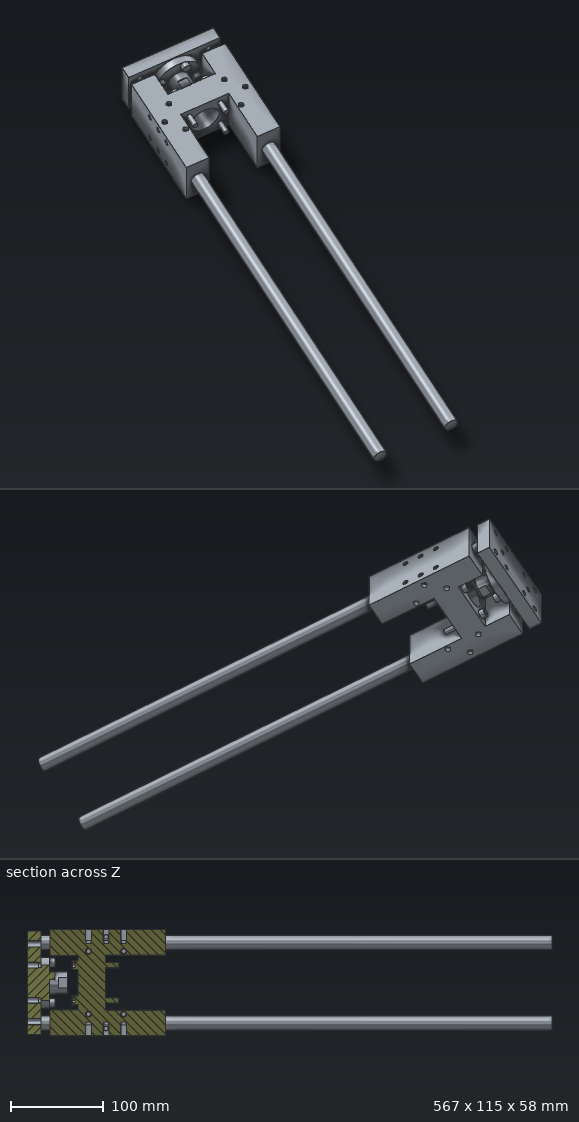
import cadquery as cq
import math

total_length = 567.0
height = 58.0

thread_dia = 6.0
thread_depth = 12.0
core_dia = 4.92
core_depth = 15.0

plate_thickness = 15.0
plate_width = 112.0
mount_hole_dia = 6.6
mount_hole_y = 42.0
locating_hole_dia = 6.0
locating_hole_y = 27.5

rod_dia = 16.0
rod_y = 43.5
rod_tip_length = 3.0
rod_tip_reduction = 0.5

flange_dia = 55.0
flange_thickness = 9.0
flange_bolt_radius = 23.0
flange_bolt_angle = 19.0
flange_bolt_count = 4
stud_dia = 24.0
stud_length = 19.5
stud_flat_length = 10.0
stud_flat_width = 21.0

housing_start = 24.5
housing_length = 125.0
housing_width = 115.0
front_recess_depth = 30.0
front_recess_width = 58.0
web_thickness = 30.0
rear_recess_width = 59.0
bore_dia = 35.0
hole_offset = 60.6
hole_pitch = 38.0
top_hole_y = 34.0
top_center_hole_y = 49.5

screw_dia = 6.0
screw_head_dia = 10.0
screw_head_height = 6.0
socket_width = 5.0
socket_depth = 3.0
web_screw_protrusion = 14.5

flange_back = plate_thickness + flange_thickness
stud_end = flange_back + stud_length
web_front = housing_start + front_recess_depth
web_back = web_front + web_thickness
housing_end = housing_start + housing_length
hole_center_x = housing_start + hole_offset
half_pitch = hole_pitch / 2
rod_points = [(-rod_y, 0), (rod_y, 0)]
square_pattern = [(y, z) for y in (-half_pitch, half_pitch) for z in (-half_pitch, half_pitch)]


def block(start_x, length, width, tall):
    """Box centred on the X axis, beginning at start_x."""
    shape = cq.Workplane("XY").box(length, width, tall, centered=(False, True, True))
    return shape.translate((start_x, 0, 0))


def rod(start_x, end_x, diameter, points=((0, 0),)):
    """Cylinders along X at the given (y, z) points."""
    plane = cq.Workplane("YZ", origin=(start_x, 0, 0))
    return plane.pushPoints(points).circle(diameter / 2).extrude(end_x - start_x)


def tapped_holes(points, direction):
    """Stepped holes at points on a face; direction is the sign of the depth along the plane normal."""
    threads = points.circle(thread_dia / 2).extrude(direction * thread_depth)
    cores = points.circle(core_dia / 2).extrude(direction * core_depth)
    return threads.union(cores)


def make_guide_rods():
    """Two rods running from the plate to the far end, chamfered at the tip."""
    rods = rod(plate_thickness, total_length, rod_dia, rod_points)
    return rods.faces(">X").edges().chamfer(rod_tip_length, rod_tip_reduction)


def make_coupling():
    """Bolted flange with a stud that carries two wrench flats."""
    flange = rod(plate_thickness, flange_back, flange_dia)
    stud = rod(flange_back, stud_end, stud_dia)
    flat_start = stud_end - stud_flat_length
    flat_cutter = block(flat_start, stud_flat_length, stud_dia, stud_dia)
    flat_cutter = flat_cutter.cut(block(flat_start, stud_flat_length, stud_dia, stud_flat_width))
    stud = stud.cut(flat_cutter)
    bolt_points = []
    for i in range(flange_bolt_count):
        angle = math.radians(flange_bolt_angle + i * 360 / flange_bolt_count)
        bolt_points.append((flange_bolt_radius * math.sin(angle), flange_bolt_radius * math.cos(angle)))
    heads = rod(flange_back, flange_back + screw_head_height, screw_head_dia, bolt_points)
    return flange.union(stud).union(heads)


def make_yoke():
    """Moving body: plate, coupling and guide rods."""
    plate = block(0, plate_thickness, plate_width, height)
    mount_points = [(y, z) for y in (-mount_hole_y, mount_hole_y) for z in (-half_pitch, half_pitch)]
    plate = plate.cut(rod(0, plate_thickness, mount_hole_dia, mount_points))
    plate = plate.cut(tapped_holes(cq.Workplane("YZ").pushPoints(square_pattern), 1))
    locating_points = [(-locating_hole_y, 0), (locating_hole_y, 0)]
    plate = plate.cut(rod(0, plate_thickness, locating_hole_dia, locating_points))
    return plate.union(make_coupling()).union(make_guide_rods())


def make_web_screws():
    """Four socket head screws through the web of the housing."""
    head_front = web_front - screw_head_height
    heads = rod(head_front, web_front, screw_head_dia, square_pattern)
    sockets = (
        cq.Workplane("YZ", origin=(head_front, 0, 0))
        .pushPoints(square_pattern)
        .polygon(6, socket_width, circumscribed=True)
        .extrude(socket_depth)
    )
    shanks = rod(web_front, web_back + web_screw_protrusion, screw_dia, square_pattern)
    return heads.cut(sockets).union(shanks)


def drill_housing(housing):
    """Tapped hole patterns on the top, bottom and both outer sides."""
    row_x = (hole_center_x - half_pitch, hole_center_x, hole_center_x + half_pitch)
    top_points = [(x, y) for x in (row_x[0], row_x[2]) for y in (-top_hole_y, top_hole_y)]
    top_points += [(hole_center_x, y) for y in (-top_center_hole_y, top_center_hole_y)]
    side_points = [(x, z) for x in row_x for z in (-half_pitch, half_pitch)]
    for side in (-1, 1):
        flat_face = cq.Workplane("XY", origin=(0, 0, side * height / 2))
        housing = housing.cut(tapped_holes(flat_face.pushPoints(top_points), -side))
        outer_side = cq.Workplane("XZ", origin=(0, side * housing_width / 2, 0))
        housing = housing.cut(tapped_holes(outer_side.pushPoints(side_points), side))
    return housing


def make_housing():
    """Fixed body: H-shaped block with rod bores, centre bore and web screws."""
    housing = block(housing_start, housing_length, housing_width, height)
    housing = housing.cut(block(housing_start, front_recess_depth, front_recess_width, height))
    housing = housing.cut(block(web_back, housing_end - web_back, rear_recess_width, height))
    housing = housing.cut(rod(web_front, web_back, bore_dia))
    housing = housing.cut(rod(housing_start, housing_end, rod_dia, rod_points))
    return drill_housing(housing).union(make_web_screws())


yoke = make_yoke()
housing = make_housing()
result = cq.Compound.makeCompound([yoke.val(), housing.val()])